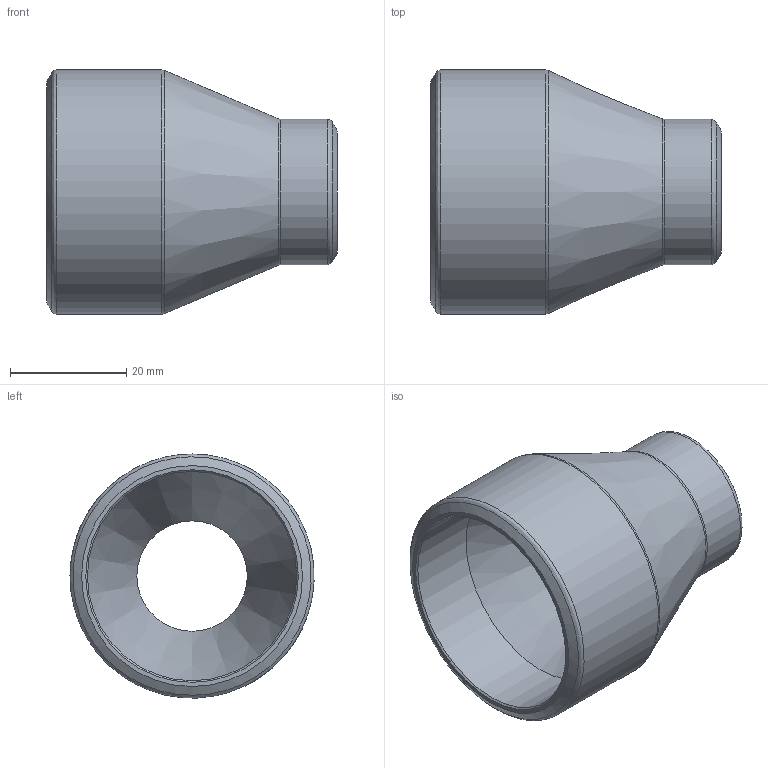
import cadquery as cq
import math

LENGTH = 50.0
LARGE_OUTER_RADIUS = 42.0 / 2
SMALL_OUTER_RADIUS = 25.0 / 2
WALL = 3.0
LARGE_BORE_RADIUS = LARGE_OUTER_RADIUS - WALL
SMALL_BORE_RADIUS = SMALL_OUTER_RADIUS - WALL

TAPER_LENGTH = 20.0
OUTER_TAPER_START = 20.0
BORE_TAPER_START = 12.0

BEVEL_ANGLE = 30.0
LAND = 1.0
BEVEL_DEPTH = (WALL - LAND) * math.tan(math.radians(BEVEL_ANGLE))

EDGE_ROUNDING = 1.0

MOUTH_CHAMFER = 0.28


def turn(profile):
    """Solid of revolution from (x, radius) points running from one end face to the other."""
    return (
        cq.Workplane("XZ")
        .polyline([(0, 0), *profile, (LENGTH, 0)])
        .close()
        .revolve(360, (0, 0, 0), (1, 0, 0))
    )


def make_outer_body():
    """Solid of the outer shape, with every edge off the end faces rounded."""
    body = turn([
        (0, LARGE_BORE_RADIUS + LAND),
        (BEVEL_DEPTH, LARGE_OUTER_RADIUS),
        (OUTER_TAPER_START, LARGE_OUTER_RADIUS),
        (OUTER_TAPER_START + TAPER_LENGTH, SMALL_OUTER_RADIUS),
        (LENGTH - BEVEL_DEPTH, SMALL_OUTER_RADIUS),
        (LENGTH, SMALL_BORE_RADIUS + LAND),
    ])
    return body.edges("%CIRCLE").edges("not(<X or >X)").fillet(EDGE_ROUNDING)


def make_bore():
    """Tapered through bore with a chamfered mouth at the large end."""
    return turn([
        (0, LARGE_BORE_RADIUS + MOUTH_CHAMFER),
        (MOUTH_CHAMFER, LARGE_BORE_RADIUS),
        (BORE_TAPER_START, LARGE_BORE_RADIUS),
        (BORE_TAPER_START + TAPER_LENGTH, SMALL_BORE_RADIUS),
        (LENGTH, SMALL_BORE_RADIUS),
    ])


result = make_outer_body().cut(make_bore())